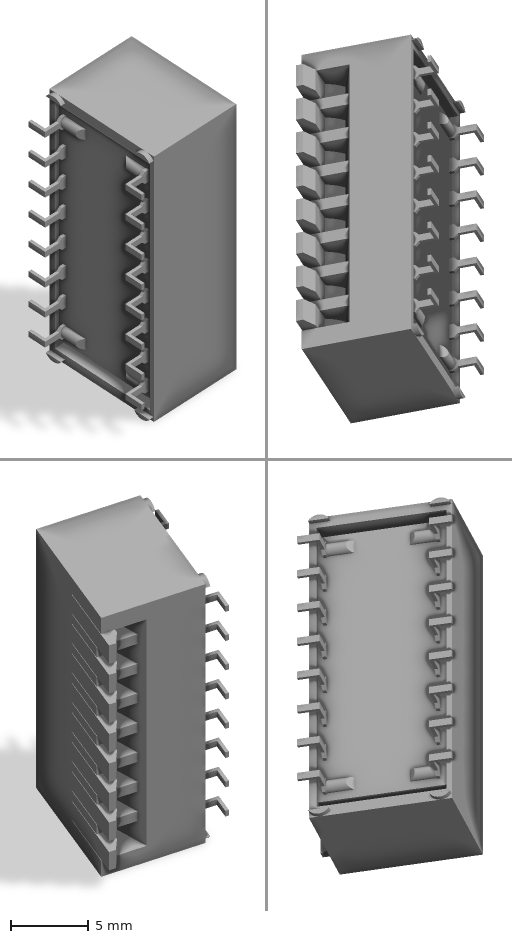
import cadquery as cq
import math


SWITCHES = 8

HOUSING_WIDTH = 9.63
HOUSING_DEPTH = 7.52
HOUSING_HEIGHT = 22.5
SIDE_X = -HOUSING_WIDTH / 2
BACK_Y = HOUSING_DEPTH
LEFT_RIM = 0.5
RIGHT_RIM = 0.38
END_RIM = 0.76
CAVITY_DEPTH = 1.8
CAVITY_LEFT = SIDE_X + LEFT_RIM
CAVITY_RIGHT = -SIDE_X - RIGHT_RIM
CAVITY_TOP = HOUSING_HEIGHT / 2 - END_RIM

TAB_CHORD = 1.4
TAB_RISE = 0.38
TAB_LENGTH = 0.38
TAB_X = 4.07

ROCKER_PITCH = 2.56
ROCKER_WIDTH = 1.6
ROCKER_CLEARANCE = 0.07
SLOT_WIDTH = ROCKER_WIDTH + 2 * ROCKER_CLEARANCE
LEVER_REACH = 1.15
LEVER_TIP_DEPTH = 0.5
LEVER_DEPTH = 1.04
LEVER_SLOPE_REACH = 0.22
HUB_RADIUS = 2.92
HUB_ANGLE = math.radians(48)
PIVOT_X = -0.45

WINDOW_DEPTH = 3.28
RIB_RECESS = 0.7

BASE_RECESS = 0.38
BASE_END_GAP = 0.55
BASE_SIDE_GAP = 0.1

PIN_PITCH = 2.55
PIN_THICKNESS = 0.25
PIN_WIDTH = 0.5
PIN_ROOT_WIDTH = 1.04
PIN_TAPER_END = 0.22
PIN_LENGTH = 1.5
PIN_OUTER_X = 3.94
PIN_FOOT_X = 5.2

BOSS_RADIUS = 0.45
BOSS_END_X = 1.87

rocker_centers = [(i - (SWITCHES - 1) / 2) * ROCKER_PITCH for i in range(SWITCHES)]
pin_centers = [(i - (SWITCHES - 1) / 2) * PIN_PITCH for i in range(SWITCHES)]

HUB_END = (
    PIVOT_X - HUB_RADIUS * math.cos(HUB_ANGLE),
    BACK_Y - HUB_RADIUS * math.sin(HUB_ANGLE),
)


def hub_point(depth):
    """Point of the hub circle at a given depth below the back face."""
    return (PIVOT_X - math.sqrt(HUB_RADIUS**2 - depth**2), BACK_Y - depth)


def box(x0, x1, y0, y1, z0, z1):
    return cq.Workplane("XY").box(x1 - x0, y1 - y0, z1 - z0, centered=False).translate((x0, y0, z0))


def extrude_centered(profile, height, z=0.0):
    """Extrude a closed XY profile to a height centred on z."""
    return profile.extrude(height / 2, both=True).translate((0, 0, z))


def make_tab(x, end):
    """Standoff tab on the rim; end is +1 for the upper end and -1 for the lower end."""
    tip_z = end * HOUSING_HEIGHT / 2
    chord_z = tip_z - end * TAB_RISE
    return (
        cq.Workplane("XZ")
        .moveTo(x - TAB_CHORD / 2, chord_z)
        .threePointArc((x, tip_z), (x + TAB_CHORD / 2, chord_z))
        .close()
        .extrude(TAB_LENGTH)
    )


def make_rocker_pocket(z):
    """Slot and hub seat of one rocker, open to the side and the back."""
    profile = cq.Workplane("XY").polyline(
        [(SIDE_X, BACK_Y), (SIDE_X, BACK_Y - WINDOW_DEPTH), HUB_END, (PIVOT_X, BACK_Y)]
    ).close()
    return extrude_centered(profile, SLOT_WIDTH, z)


def make_window():
    """Shallow opening over all rockers, with a sloping front wall and the rib faces as its floor."""
    wall_slope = (HUB_END[1] - BACK_Y + WINDOW_DEPTH) / (HUB_END[0] - SIDE_X)
    wall_start_y = BACK_Y - WINDOW_DEPTH
    floor_x = SIDE_X + RIB_RECESS
    profile = cq.Workplane("XY").polyline(
        [
            (SIDE_X, BACK_Y),
            (SIDE_X, wall_start_y),
            (floor_x, wall_start_y + wall_slope * RIB_RECESS),
            (floor_x, BACK_Y),
        ]
    ).close()
    height = rocker_centers[-1] - rocker_centers[0] + SLOT_WIDTH
    return extrude_centered(profile, height)


def make_housing():
    half_height = HOUSING_HEIGHT / 2
    body = box(SIDE_X, -SIDE_X, 0, HOUSING_DEPTH, -half_height, half_height)
    body = body.cut(box(CAVITY_LEFT, CAVITY_RIGHT, 0, CAVITY_DEPTH, -CAVITY_TOP, CAVITY_TOP))
    for z in rocker_centers:
        body = body.cut(make_rocker_pocket(z))
    body = body.cut(make_window())
    for x in (-TAB_X, TAB_X):
        for end in (-1, 1):
            body = body.union(make_tab(x, end))
    return body


def make_rocker(z):
    """Lever with a sloping finger face on a round hub sector that turns at the back face."""
    tip_x = SIDE_X - LEVER_REACH
    profile = (
        cq.Workplane("XY")
        .moveTo(PIVOT_X, BACK_Y)
        .lineTo(tip_x, BACK_Y)
        .lineTo(tip_x, BACK_Y - LEVER_TIP_DEPTH)
        .lineTo(SIDE_X - LEVER_SLOPE_REACH, BACK_Y - LEVER_DEPTH)
        .lineTo(*hub_point(LEVER_DEPTH))
        .threePointArc(hub_point((LEVER_DEPTH + BACK_Y - HUB_END[1]) / 2), HUB_END)
        .close()
    )
    return extrude_centered(profile, ROCKER_WIDTH, z)


def make_pin(z):
    """Left-hand L-shaped pin with a root that tapers at 45 degrees to the pin width."""
    root = PIN_ROOT_WIDTH / 2
    half = PIN_WIDTH / 2
    taper_start_y = root - half - PIN_TAPER_END
    blade = (
        cq.Workplane("YZ")
        .polyline(
            [
                (BASE_RECESS, -root),
                (taper_start_y, -root),
                (-PIN_TAPER_END, -half),
                (-PIN_LENGTH, -half),
                (-PIN_LENGTH, half),
                (-PIN_TAPER_END, half),
                (taper_start_y, root),
                (BASE_RECESS, root),
            ]
        )
        .close()
        .extrude(PIN_THICKNESS)
        .translate((-PIN_OUTER_X, 0, z))
    )
    foot_top_y = PIN_THICKNESS - PIN_LENGTH
    foot = box(-PIN_FOOT_X, -PIN_OUTER_X, -PIN_LENGTH, foot_top_y, z - half, z + half)
    return blade.union(foot)


def make_boss(z):
    """Left-hand half-round boss whose free end slopes at 45 degrees."""
    start_x = PIN_THICKNESS - PIN_OUTER_X
    crown_y = BASE_RECESS - BOSS_RADIUS
    rod = (
        cq.Workplane("YZ")
        .center(BASE_RECESS, z)
        .circle(BOSS_RADIUS)
        .extrude(-BOSS_END_X - start_x)
        .translate((start_x, 0, 0))
    )
    envelope = extrude_centered(
        cq.Workplane("XY").polyline(
            [
                (start_x, BASE_RECESS),
                (-BOSS_END_X, BASE_RECESS),
                (-BOSS_END_X - BOSS_RADIUS, crown_y),
                (start_x, crown_y),
            ]
        ).close(),
        2 * BOSS_RADIUS,
        z,
    )
    return rod.intersect(envelope)


def make_base():
    top = CAVITY_TOP - BASE_END_GAP
    base = box(CAVITY_LEFT, CAVITY_RIGHT - BASE_SIDE_GAP, BASE_RECESS, CAVITY_DEPTH, -top, top)
    left_parts = [make_pin(z) for z in pin_centers]
    left_parts += [make_boss(z) for z in (pin_centers[0], pin_centers[-1])]
    for part in left_parts:
        base = base.union(part).union(part.mirror("YZ"))
    return base


housing = make_housing()
base = make_base()
rockers = [make_rocker(z) for z in rocker_centers]

result = cq.Compound.makeCompound([housing.val(), base.val(), *[rocker.val() for rocker in rockers]])